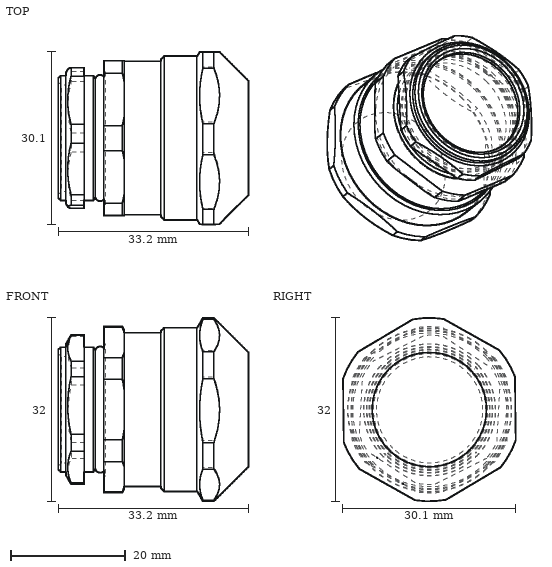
import cadquery as cq
import math

total_length = 33.18

thread_radius = 21.8 / 2
thread_end = 6.45
thread_tip_chamfer = 0.45
thread_inner_chamfer = 0.33
recess_radius = 18.5 / 2
recess_mouth_radius = 9.8
recess_bevel_length = 0.53
recess_depth = 1.33

seal_outer_radius = 11.0
seal_pocket_radius = 11.5
seal_pocket_depth = 0.25

nut_start = 1.35
nut_end = 4.55
nut_across_flats = 24.0
nut_corner_radius = 13.0
nut_bevel_length = 0.9
nut_turn = -3.3

body_hex_start = 7.95
body_hex_end = 11.5
body_hex_across_flats = 27.0
body_hex_corner_radius = 14.5
body_hex_bevel_length = 0.33

body_radius = 26.8 / 2
collar_start = 17.92
collar_radius = 28.6 / 2
collar_chamfer = 0.55

cap_start = 24.2
cap_bevel_length = 1.03
cap_across_flats = 30.0
cap_corner_radius = 16.0
cap_end_radius = 9.95
cap_turn = 0.7

bevel_slope = math.tan(math.radians(60))


def revolve_profile(points):
    """Revolve a closed outline of (x, radius) points about the X axis."""
    return cq.Workplane("XY").polyline(points).close().revolve(360, (0, 0, 0), (1, 0, 0))


def hexagon(start, end, across_flats, turn):
    """Hexagonal bar along X, turned about X from having flats on +Y and -Y."""
    across_corners = across_flats / math.cos(math.pi / 6)
    bar = cq.Workplane("YZ").workplane(offset=start).polygon(6, across_corners).extrude(end - start)
    return bar.rotate((0, 0, 0), (1, 0, 0), 30 + turn)


def make_thread():
    tip_radius = thread_radius - thread_tip_chamfer
    inner_radius = thread_radius - thread_inner_chamfer
    return revolve_profile([
        (0, 0),
        (0, tip_radius),
        (thread_tip_chamfer, thread_radius),
        (thread_end - thread_inner_chamfer, thread_radius),
        (thread_end, inner_radius),
        (thread_end, 0),
    ])


def make_recess():
    return revolve_profile([
        (0, 0),
        (0, recess_mouth_radius),
        (recess_bevel_length, recess_radius),
        (recess_depth, recess_radius),
        (recess_depth, 0),
    ])


def make_seal():
    """Round ring on a core that joins the thread to the pocket floor."""
    gap = body_hex_start + seal_pocket_depth - thread_end
    section_radius = gap / 2
    ring_radius = seal_outer_radius - section_radius
    middle = thread_end + section_radius
    ring = (
        cq.Workplane("XY").center(middle, ring_radius).circle(section_radius)
        .revolve(360, (0, -ring_radius, 0), (1, -ring_radius, 0))
    )
    core = cq.Workplane("YZ").workplane(offset=thread_end).circle(ring_radius).extrude(gap)
    return core.union(ring)


def make_lock_nut():
    face_radius = nut_corner_radius - nut_bevel_length * bevel_slope
    blank = revolve_profile([
        (nut_start, 0),
        (nut_start, face_radius),
        (nut_start + nut_bevel_length, nut_corner_radius),
        (nut_end, nut_corner_radius),
        (nut_end, 0),
    ])
    return blank.intersect(hexagon(nut_start, nut_end, nut_across_flats, nut_turn))


def make_body_hexagon():
    face_radius = body_hex_corner_radius - body_hex_bevel_length * bevel_slope
    blank = revolve_profile([
        (body_hex_start, 0),
        (body_hex_start, body_hex_corner_radius),
        (body_hex_end - body_hex_bevel_length, body_hex_corner_radius),
        (body_hex_end, face_radius),
        (body_hex_end, 0),
    ])
    bar = hexagon(body_hex_start, body_hex_end, body_hex_across_flats, 0)
    pocket = (
        cq.Workplane("YZ").workplane(offset=body_hex_start)
        .circle(seal_pocket_radius).extrude(seal_pocket_depth)
    )
    return blank.intersect(bar).cut(pocket)


def make_body():
    return revolve_profile([
        (body_hex_end, 0),
        (body_hex_end, body_radius),
        (collar_start, body_radius),
        (collar_start, collar_radius - collar_chamfer),
        (collar_start + collar_chamfer, collar_radius),
        (cap_start, collar_radius),
        (cap_start, 0),
    ])


def make_cap():
    face_radius = cap_corner_radius - cap_bevel_length * bevel_slope
    cone_length = cap_corner_radius - cap_end_radius
    blank = revolve_profile([
        (cap_start, 0),
        (cap_start, face_radius),
        (cap_start + cap_bevel_length, cap_corner_radius),
        (total_length - cone_length, cap_corner_radius),
        (total_length, cap_end_radius),
        (total_length, 0),
    ])
    return blank.intersect(hexagon(cap_start, total_length, cap_across_flats, cap_turn))


result = (
    make_thread()
    .union(make_seal())
    .union(make_lock_nut())
    .union(make_body_hexagon())
    .union(make_body())
    .union(make_cap())
    .cut(make_recess())
)